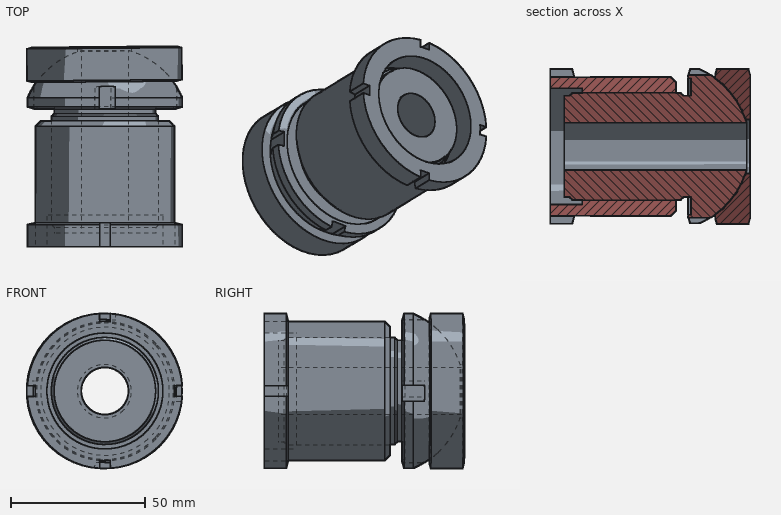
import cadquery as cq
import math


outer_radius = 29.0
thread_radius = 20.0

sleeve_radius = 26.0
sleeve_length = 47.0
sleeve_chamfer = 2.0
flange_thickness = 9.05
flange_bevel_length = 0.75
recess_radius = 21.65
recess_depth = 12.0
flange_slot_width = 4.0

spindle_start = 5.25
bore_radius = 8.75
shank_chamfer = 1.05
neck_radius = thread_radius - shank_chamfer
stub_length = 2.0
shank_end = 49.7
head_start = 51.4
head_rim_start = 52.2
head_rim_end = 55.6
head_bevel_depth = 2.8
head_recess_radius = 25.45
head_recess_depth = 1.1
sphere_radius = 31.6
head_slot_width = 6.0
head_slot_floor = 26.65
head_slot_turn = 1.8

seat_start = 61.55
seat_thickness = 13.1
seat_bevel_length = 0.6
seat_bevel_depth = 2.2
seat_hole_radius = 10.0
seat_tilt = 0.5

slot_count = 4
sphere_centre = head_rim_end - math.sqrt(sphere_radius**2 - outer_radius**2)


def sphere_height(radius):
    """Y of the sphere surface at a distance from the axis."""
    return sphere_centre + math.sqrt(sphere_radius**2 - radius**2)


def revolve_about_y(profile):
    return profile.close().revolve(360, (0, 0, 0), (0, 1, 0))


def cut_rim_slots(body, start, end, floor, width, turn):
    """Cut equal slots inward from the rim down to flat floors."""
    slot_depth = outer_radius - floor + 0.75
    slot = cq.Workplane("XY").box(width, end - start, slot_depth, centered=(True, False, False))
    slot = slot.translate((0, start, floor))
    for i in range(slot_count):
        body = body.cut(slot.rotate((0, 0, 0), (0, 1, 0), turn + i * 360 / slot_count))
    return body


def make_sleeve():
    profile = (
        cq.Workplane("XY")
        .moveTo(recess_radius, 0)
        .lineTo(outer_radius, 0)
        .lineTo(outer_radius, flange_thickness - flange_bevel_length)
        .lineTo(sleeve_radius, flange_thickness)
        .lineTo(sleeve_radius, sleeve_length - sleeve_chamfer)
        .lineTo(sleeve_radius - sleeve_chamfer, sleeve_length)
        .lineTo(thread_radius, sleeve_length)
        .lineTo(thread_radius, recess_depth)
        .lineTo(recess_radius, recess_depth)
    )
    return cut_rim_slots(
        revolve_about_y(profile), 0, flange_thickness, sleeve_radius, flange_slot_width, 0
    )


def make_spindle():
    mid_radius = (outer_radius + bore_radius) / 2
    profile = (
        cq.Workplane("XY")
        .moveTo(bore_radius, spindle_start)
        .lineTo(neck_radius, spindle_start)
        .lineTo(neck_radius, spindle_start + stub_length)
        .lineTo(thread_radius, spindle_start + stub_length + shank_chamfer)
        .lineTo(thread_radius, shank_end - shank_chamfer)
        .lineTo(neck_radius, shank_end)
        .lineTo(neck_radius, head_start + head_recess_depth)
        .lineTo(head_recess_radius, head_start + head_recess_depth)
        .lineTo(head_recess_radius, head_start)
        .lineTo(outer_radius - head_bevel_depth, head_start)
        .lineTo(outer_radius, head_rim_start)
        .lineTo(outer_radius, head_rim_end)
        .threePointArc((mid_radius, sphere_height(mid_radius)), (bore_radius, sphere_height(bore_radius)))
    )
    slot_end = sphere_height(head_slot_floor)
    return cut_rim_slots(
        revolve_about_y(profile), head_start, slot_end, head_slot_floor, head_slot_width, head_slot_turn
    )


def make_seat():
    seat_end = seat_start + seat_thickness
    bevel_radius = outer_radius - seat_bevel_depth
    mouth_radius = math.sqrt(sphere_radius**2 - (seat_start - sphere_centre) ** 2)
    mid_radius = (mouth_radius + seat_hole_radius) / 2
    profile = (
        cq.Workplane("XY")
        .moveTo(mouth_radius, seat_start)
        .lineTo(bevel_radius, seat_start)
        .lineTo(outer_radius, seat_start + seat_bevel_length)
        .lineTo(outer_radius, seat_end - seat_bevel_length)
        .lineTo(bevel_radius, seat_end)
        .lineTo(seat_hole_radius, seat_end)
        .lineTo(seat_hole_radius, sphere_height(seat_hole_radius))
        .threePointArc((mid_radius, sphere_height(mid_radius)), (mouth_radius, seat_start))
    )
    return revolve_about_y(profile).rotate((0, sphere_centre, 0), (0, sphere_centre, 1), seat_tilt)


sleeve = make_sleeve()
spindle = make_spindle()
seat = make_seat()

result = cq.Compound.makeCompound([sleeve.val(), spindle.val(), seat.val()])